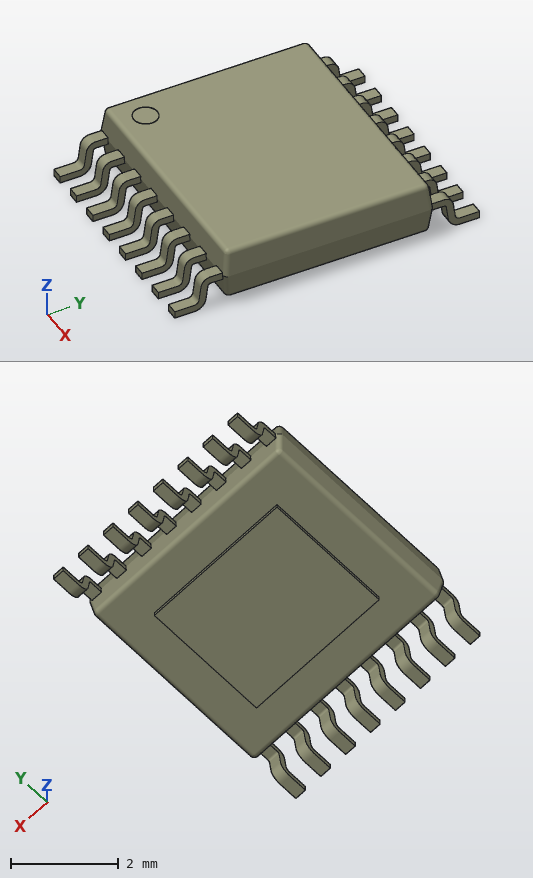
import cadquery as cq
import math

body_length = 5.0
body_width = 4.4
body_bottom = 0.1
body_top = 1.2
parting_height = 0.65
draft_angle = 7.0
body_fillet = 0.1

mark_diameter = 0.5
mark_depth = 0.01
mark_x = -1.86
mark_y = -1.56

pad_length = 3.2
pad_width = 2.7

leads_per_side = 8
lead_pitch = 0.65
lead_span = 6.4
lead_width = 0.25
lead_thickness = 0.15
lead_top = 0.7
foot_length = 0.41
lead_lean = 8.0
shoulder_inner_radius = 0.05
ankle_inner_radius = 0.1
lead_embed = 0.3


def drafted_half(height):
    """Half of the body, narrowing from the parting plane; a negative height goes down."""
    return (
        cq.Workplane("XY")
        .workplane(offset=parting_height)
        .rect(body_length, body_width)
        .extrude(height, taper=draft_angle)
        .edges("not(|X or |Y)")
        .fillet(body_fillet)
    )


def make_body():
    upper = drafted_half(body_top - parting_height).faces(">Z").edges().fillet(body_fillet)
    lower = drafted_half(body_bottom - parting_height).faces("<Z").edges().fillet(body_fillet)
    mark = (
        cq.Workplane("XY", origin=(mark_x, mark_y, body_top - mark_depth))
        .circle(mark_diameter / 2)
        .extrude(mark_depth)
    )
    return upper.union(lower).cut(mark)


def make_pad():
    return cq.Workplane("XY").rect(pad_length, pad_width).extrude(body_bottom)


def on_circle(center, radius, angle):
    """Point on a circle; the angle is in degrees from the horizontal axis."""
    turn = math.radians(angle)
    return (center[0] + radius * math.cos(turn), center[1] + radius * math.sin(turn))


def lead_outline():
    """Side profile of a lead on the +Y side, as (y, z) points joined by lines and bend arcs."""
    tip = lead_span / 2
    root = body_width / 2 - lead_embed
    shoulder_outer_radius = shoulder_inner_radius + lead_thickness
    ankle_outer_radius = ankle_inner_radius + lead_thickness

    shoulder_z = lead_top - shoulder_outer_radius
    ankle_z = ankle_outer_radius
    lean = math.radians(lead_lean)
    center_gap = (
        (shoulder_outer_radius + ankle_inner_radius) / math.cos(lean)
        + (shoulder_z - ankle_z) * math.tan(lean)
    )
    ankle = (tip - foot_length, ankle_z)
    shoulder = (ankle[0] - center_gap, shoulder_z)

    shoulder_start = 90
    shoulder_end = lead_lean
    shoulder_middle = (shoulder_start + shoulder_end) / 2
    ankle_start = 180 + shoulder_end
    ankle_end = 180 + shoulder_start
    ankle_middle = (ankle_start + ankle_end) / 2

    return (
        cq.Workplane("YZ")
        .moveTo(root, lead_top)
        .lineTo(shoulder[0], lead_top)
        .threePointArc(
            on_circle(shoulder, shoulder_outer_radius, shoulder_middle),
            on_circle(shoulder, shoulder_outer_radius, shoulder_end),
        )
        .lineTo(*on_circle(ankle, ankle_inner_radius, ankle_start))
        .threePointArc(
            on_circle(ankle, ankle_inner_radius, ankle_middle),
            on_circle(ankle, ankle_inner_radius, ankle_end),
        )
        .lineTo(tip, lead_thickness)
        .lineTo(tip, 0)
        .lineTo(ankle[0], 0)
        .threePointArc(
            on_circle(ankle, ankle_outer_radius, ankle_middle),
            on_circle(ankle, ankle_outer_radius, ankle_start),
        )
        .lineTo(*on_circle(shoulder, shoulder_inner_radius, shoulder_end))
        .threePointArc(
            on_circle(shoulder, shoulder_inner_radius, shoulder_middle),
            on_circle(shoulder, shoulder_inner_radius, shoulder_start),
        )
        .lineTo(root, lead_top - lead_thickness)
        .close()
    )


def add_leads(part):
    lead = lead_outline().extrude(lead_width / 2, both=True)
    opposite_lead = lead.mirror("XZ")
    first_x = -lead_pitch * (leads_per_side - 1) / 2
    for index in range(leads_per_side):
        position = (first_x + index * lead_pitch, 0, 0)
        part = part.union(lead.translate(position))
        part = part.union(opposite_lead.translate(position))
    return part


result = add_leads(make_body().union(make_pad()))